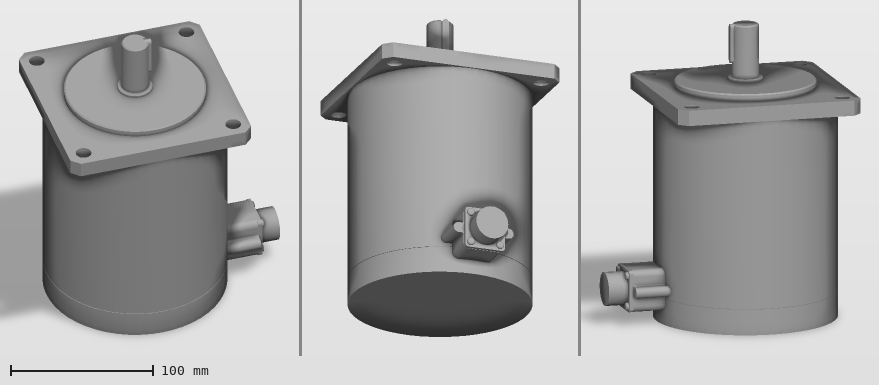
import cadquery as cq

case_diameter = 130.0
end_cap_height = 19.0
joint_groove_width = 0.5
joint_groove_depth = 0.5

flange_size = 133.0
flange_thickness = 11.0
flange_corner_chamfer = 6.0
flange_top = 165.0
flange_bottom = flange_top - flange_thickness
mount_hole_diameter = 11.0
mount_hole_spacing = 110.0
pilot_diameter = 100.0
pilot_height = 5.0
pilot_chamfer = 1.0
pilot_top = flange_top + pilot_height

collar_diameter = 25.0
collar_height = 2.0
collar_chamfer = 0.5
shaft_diameter = 19.0
shaft_top = 210.0
shaft_chamfer = 1.0

key_width = 5.0
key_height = 5.0
key_length = 28.0
key_seat_depth = 3.0
key_floor = shaft_diameter / 2 - key_seat_depth

connector_z = 25.2
connector_tip = 103.0
block_size = 30.2
block_corner_radius = 4.5
block_face = 86.0
block_root = 50.0
ear_span = 45.0
ear_width = 7.5
ear_root_radius = 1.25
plate_size = 29.8
plate_thickness = 3.0
plate_corner_radius = 2.5
plate_face = block_face + plate_thickness
barrel_diameter = 23.9
screw_head_diameter = 5.5
screw_head_height = 2.0
screw_head_round = 1.2
screw_spacing = 22.0


def cylinder(diameter, bottom, top):
    """Cylinder on the Z axis between two heights."""
    return cq.Workplane("XY").workplane(offset=bottom).circle(diameter / 2).extrude(top - bottom)


def connector_plane(y):
    """Workplane on the connector axis that faces +Y; its second axis is Z."""
    return cq.Workplane(cq.Plane(origin=(0, y, connector_z), xDir=(-1, 0, 0), normal=(0, 1, 0)))


def make_case():
    case = cylinder(case_diameter, 0, flange_bottom)
    groove = cylinder(case_diameter, end_cap_height - joint_groove_width, end_cap_height)
    groove = groove.cut(cylinder(case_diameter - 2 * joint_groove_depth, 0, flange_bottom))
    return case.cut(groove)


def make_flange():
    flange = cq.Workplane("XY").workplane(offset=flange_bottom)
    flange = flange.rect(flange_size, flange_size).extrude(flange_thickness)
    flange = flange.edges("|Z").chamfer(flange_corner_chamfer)
    flange = flange.faces(">Z").workplane()
    flange = flange.rect(mount_hole_spacing, mount_hole_spacing, forConstruction=True)
    flange = flange.vertices().hole(mount_hole_diameter)
    pilot = cylinder(pilot_diameter, flange_top, pilot_top)
    return flange.union(pilot.faces(">Z").chamfer(pilot_chamfer))


def make_shaft():
    collar = cylinder(collar_diameter, pilot_top, pilot_top + collar_height)
    collar = collar.faces(">Z").chamfer(collar_chamfer)
    shaft = cylinder(shaft_diameter, pilot_top, shaft_top)
    shaft = shaft.faces(">Z").chamfer(shaft_chamfer)
    return collar.union(shaft).cut(make_keyway())


def make_keyway():
    """Slot cutter: round lower end, straight and open at the shaft end."""
    half_width = key_width / 2
    end = shaft_top - key_length
    slot = cq.Workplane("XZ", origin=(0, key_floor, 0))
    slot = slot.moveTo(-half_width, shaft_top).lineTo(-half_width, end + half_width)
    slot = slot.threePointArc((0, end), (half_width, end + half_width))
    return slot.lineTo(half_width, shaft_top).close().extrude(-key_height)


def make_key():
    key = cq.Workplane("XZ", origin=(0, key_floor, shaft_top - key_length / 2))
    return key.slot2D(key_length, key_width, angle=90).extrude(-key_height)


def make_connector_block():
    """Rounded square block with a round-ended ear on each side."""
    length = block_face - block_root
    block = connector_plane(block_root).rect(block_size, block_size).extrude(length)
    block = block.edges("|Y").fillet(block_corner_radius)
    ears = connector_plane(block_root).slot2D(ear_span, ear_width).extrude(length)
    block = block.union(ears)
    half_block = block_size / 2
    for side in (-1, 1):
        for end in (-1, 1):
            root = (side * half_block, (block_root + block_face) / 2, connector_z + end * ear_width / 2)
            block = block.edges(cq.selectors.NearestToPointSelector(root)).fillet(ear_root_radius)
    return block


def make_connector():
    plate = connector_plane(block_face).rect(plate_size, plate_size).extrude(plate_thickness)
    plate = plate.edges("|Y").fillet(plate_corner_radius)
    barrel = connector_plane(plate_face).circle(barrel_diameter / 2).extrude(connector_tip - plate_face)
    heads = connector_plane(plate_face).rect(screw_spacing, screw_spacing, forConstruction=True).vertices()
    heads = heads.circle(screw_head_diameter / 2).extrude(screw_head_height)
    heads = heads.faces(">Y").edges().fillet(screw_head_round)
    return make_connector_block().union(plate).union(barrel).union(heads)


motor = make_case().union(make_flange()).union(make_shaft()).union(make_connector())
key = make_key()

result = cq.Compound.makeCompound([motor.val(), key.val()])